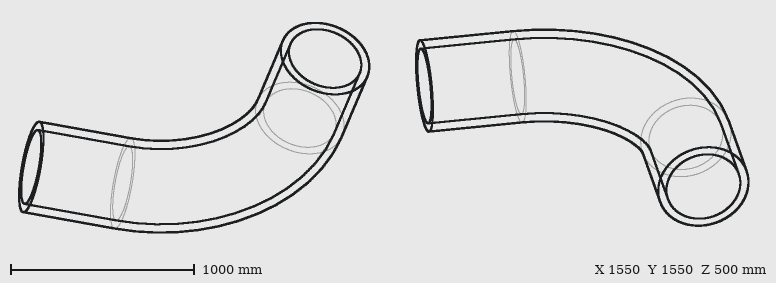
import cadquery as cq

overall_length = 1550.0
outer_diameter = 500.0
inner_diameter = 409.0
straight_length = 516.0

bend_radius = overall_length - outer_diameter / 2 - straight_length
bend_angle = 90


def ring(workplane):
    """Draw the pipe's cross-section at the workplane origin."""
    return workplane.circle(outer_diameter / 2).circle(inner_diameter / 2)


inlet = ring(cq.Workplane("YZ")).extrude(straight_length)

bend = ring(cq.Workplane("YZ", origin=(straight_length, 0, 0))).revolve(
    bend_angle, (bend_radius, 0, 0), (bend_radius, 1, 0)
)

outlet_start = (straight_length + bend_radius, bend_radius, 0)
outlet = ring(cq.Workplane("XZ", origin=outlet_start)).extrude(-straight_length)

result = inlet.union(bend).union(outlet)